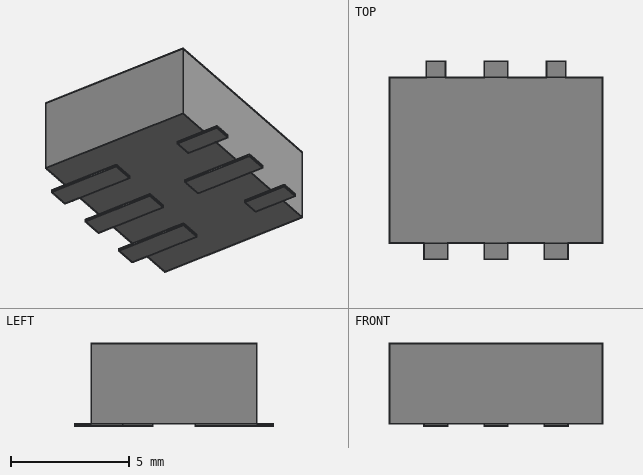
import cadquery as cq

body_length = 9.0
overall_width = 8.37
overall_height = 3.5

lead_thickness = 0.1
lead_overhang = 0.68
lead_pitch = 2.54
lead_length = 3.29
short_lead_length = 2.02
middle_lead_width = 1.0
front_outer_lead_width = 1.01
back_outer_lead_width = 0.83

body_width = overall_width - 2 * lead_overhang
body_height = overall_height - lead_thickness


def make_body():
    """Plain block resting on top of the leads."""
    return (
        cq.Workplane("XY")
        .workplane(offset=lead_thickness)
        .box(body_length, body_width, body_height, centered=(True, True, False))
    )


def make_lead(x, side, width, length):
    """Flat lead centred at x, running inward from the outer end; side is -1 (front) or +1 (back)."""
    y = side * (overall_width - length) / 2
    return (
        cq.Workplane("XY")
        .center(x, y)
        .box(width, length, lead_thickness, centered=(True, True, False))
    )


body = make_body()

front, back = -1, 1
leads = []
for position in (-1, 0, 1):
    x = position * lead_pitch
    is_middle = position == 0
    front_width = middle_lead_width if is_middle else front_outer_lead_width
    back_width = middle_lead_width if is_middle else back_outer_lead_width
    back_length = lead_length if is_middle else short_lead_length
    leads.append(make_lead(x, front, front_width, lead_length))
    leads.append(make_lead(x, back, back_width, back_length))

result = cq.Compound.makeCompound([body.val(), *[lead.val() for lead in leads]])